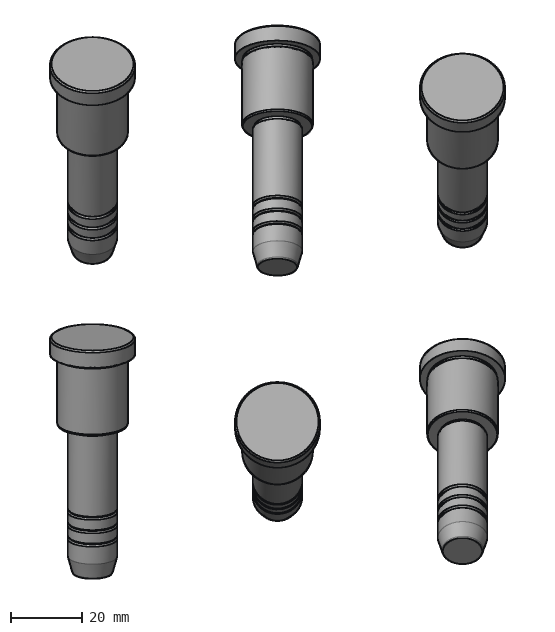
import cadquery as cq
import math

total_height = 70.0
head_diameter = 24.0
body_diameter = 20.0
shank_diameter = 14.0
neck_diameter = 13.0

head_height = 5.0
body_end_depth = 26.0
neck_height = 1.05
tip_height = 5.0
tip_angle = 15.0

edge_chamfer = 0.5
body_chamfer_width = 0.3
tip_chamfer_width = 0.3

groove_width = 1.0
groove_depth = 0.5
groove_count = 3
groove_pitch = 4.0
first_groove_depth = 51.45

relief_height = 1.0
relief_cone_height = 0.6
relief_depth = 0.5
relief_top_depth = 0.2

head_radius = head_diameter / 2
body_radius = body_diameter / 2
shank_radius = shank_diameter / 2

head_bottom = total_height - head_height
body_bottom = total_height - body_end_depth
neck_bottom = body_bottom - neck_height
tip_slope = math.tan(math.radians(tip_angle))
tip_radius = shank_radius - (tip_height - edge_chamfer) * tip_slope


def turned(profile):
    """Revolve a closed (radius, height) profile about the Z axis."""
    solid = cq.Workplane("XZ").polyline(profile).close()
    return solid.revolve(360, (0, 0, 0), (0, 1, 0))


def cylinder(diameter, bottom, top):
    return cq.Workplane("XY").workplane(offset=bottom).circle(diameter / 2).extrude(top - bottom)


def shank_groove(middle):
    """Ring cutter with a symmetric V section that opens at the shank surface."""
    half_width = groove_width / 2
    return turned([
        (shank_radius, middle + half_width),
        (shank_radius - groove_depth, middle),
        (shank_radius, middle - half_width),
    ])


head = cylinder(head_diameter, head_bottom, total_height).faces(">Z").chamfer(edge_chamfer)

body = turned([
    (0, head_bottom),
    (body_radius - relief_top_depth, head_bottom),
    (body_radius - relief_depth, head_bottom - relief_cone_height),
    (body_radius - relief_depth, head_bottom - relief_height),
    (body_radius, head_bottom - relief_height),
    (body_radius, body_bottom + edge_chamfer),
    (body_radius - body_chamfer_width, body_bottom),
    (0, body_bottom),
])

neck = cylinder(neck_diameter, neck_bottom, body_bottom)

shank = turned([
    (0, neck_bottom),
    (shank_radius, neck_bottom),
    (shank_radius, tip_height),
    (tip_radius, edge_chamfer),
    (tip_radius - tip_chamfer_width, 0),
    (0, 0),
])

for index in range(groove_count):
    groove_middle = total_height - first_groove_depth - index * groove_pitch
    shank = shank.cut(shank_groove(groove_middle))

result = head.union(body).union(neck).union(shank)